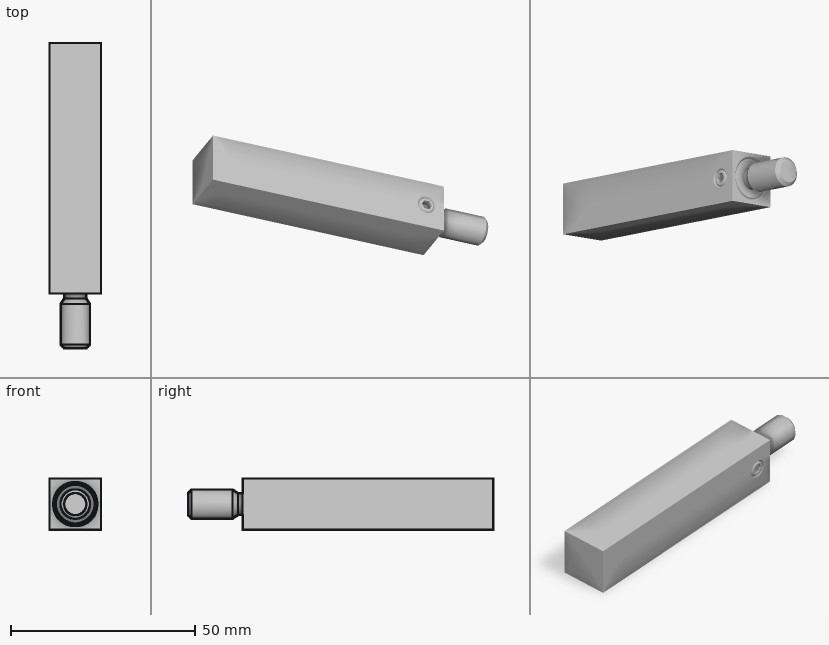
import cadquery as cq

housing_width = 14.0
housing_length = 68.0

bore_diameter = 11.0
bore_mouth_diameter = 12.0
bore_chamfer = (bore_mouth_diameter - bore_diameter) / 2
bore_depth = 10.0

stud_reach = 14.8
plug_recess = 0.2
plug_chamfer = 0.25
shank_diameter = 8.0
neck_diameter = 6.0
neck_end = 1.25
cone_end = 2.8
shank_chamfer = 1.0

screw_setback = 5.0
screw_diameter = 4.5
screw_chamfer = 0.35
screw_hole_mouth_diameter = screw_diameter + 2 * screw_chamfer
screw_tip_radius = 3.5
hex_across_flats = 2.5
hex_depth = 2.0
hex_turn = 30.0

outer_side = -housing_width / 2
screw_length = -screw_tip_radius - outer_side


def revolve_about_y(profile):
    """Turn a closed (radius, y) profile into a solid of revolution about the Y axis."""
    return cq.Workplane("XY").polyline(profile).close().revolve(360, (0, 0), (0, 1))


def side_plane(x):
    """Plane facing +X on the set screw's axis."""
    return cq.Workplane("YZ", origin=(x, screw_setback, 0))


def make_screw_blank():
    """Plain cylinder of the set screw, from the housing's side to the screw's tip."""
    return side_plane(outer_side).circle(screw_diameter / 2).extrude(screw_length)


def make_housing():
    block = cq.Workplane("XY").box(
        housing_width, housing_length, housing_width, centered=(True, False, True)
    )
    bore = revolve_about_y([
        (0, 0),
        (bore_mouth_diameter / 2, 0),
        (bore_diameter / 2, bore_chamfer),
        (bore_diameter / 2, bore_depth),
        (0, bore_depth),
    ])
    countersink = (
        side_plane(outer_side)
        .circle(screw_hole_mouth_diameter / 2)
        .workplane(offset=screw_chamfer)
        .circle(screw_diameter / 2)
        .loft()
    )
    return block.cut(bore).cut(make_screw_blank()).cut(countersink)


def make_stud():
    plug_radius = bore_diameter / 2
    neck_radius = neck_diameter / 2
    shank_radius = shank_diameter / 2
    stud = revolve_about_y([
        (0, bore_depth),
        (plug_radius, bore_depth),
        (plug_radius, plug_recess + plug_chamfer),
        (plug_radius - plug_chamfer, plug_recess),
        (neck_radius, plug_recess),
        (neck_radius, -neck_end),
        (shank_radius, -cone_end),
        (shank_radius, shank_chamfer - stud_reach),
        (shank_radius - shank_chamfer, -stud_reach),
        (0, -stud_reach),
    ])
    return stud.cut(make_screw_blank())


def make_set_screw():
    screw = make_screw_blank().faces("<X").chamfer(screw_chamfer)
    socket = (
        side_plane(outer_side).transformed(rotate=(0, 0, hex_turn))
        .polygon(6, hex_across_flats, circumscribed=True)
        .extrude(hex_depth)
    )
    return screw.cut(socket)


housing = make_housing()
stud = make_stud()
set_screw = make_set_screw()

result = cq.Compound.makeCompound([
    housing.solids().val(),
    stud.solids().val(),
    set_screw.solids().val(),
])